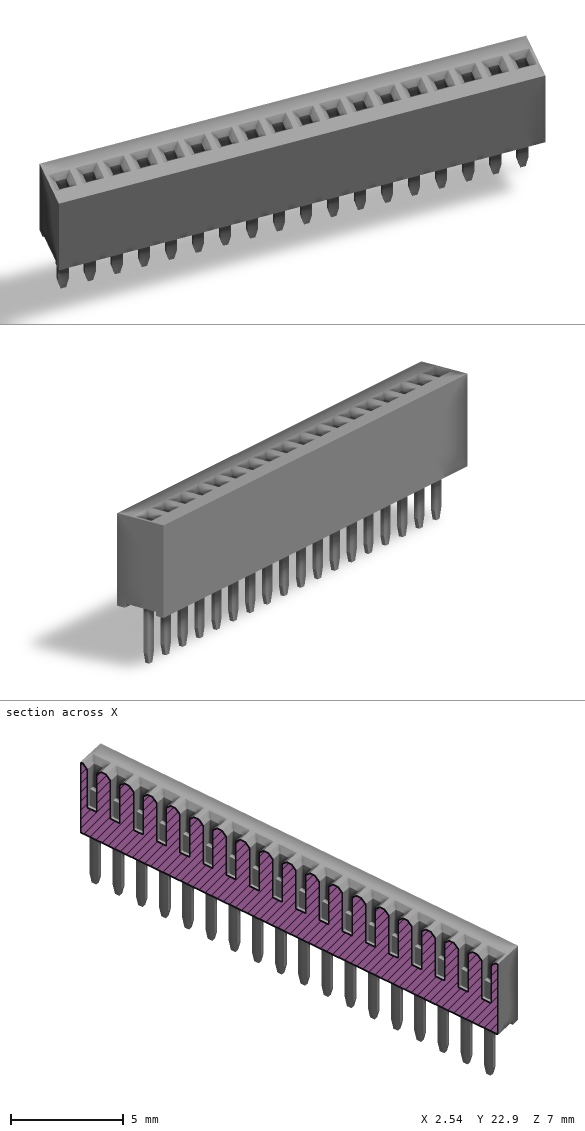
import cadquery as cq

contact_count = 18
pitch = 1.27
body_width = 2 * pitch
body_length = contact_count * pitch
body_height = 4.4
overall_height = 7.0

foot_width = 0.42
foot_height = 0.2

funnel_mouth = 1.0
well_side = 0.5
funnel_depth = 0.25
well_depth = 2.5

contact_thickness = 0.2
contact_width = 0.5
blade_width = 0.42
blade_height = 1.0
tip_width = 0.25
tip_length = 0.5

tail_bottom = body_height - overall_height
well_floor = body_height - well_depth
blade_top = well_floor + blade_height

contact_places = [(0, (i - (contact_count - 1) / 2) * pitch) for i in range(contact_count)]


def at_contacts(shape):
    """Copy a shape to every contact position along the row."""
    return cq.Workplane("XY").pushPoints(contact_places).eachpoint(lambda place: shape.moved(place))


def make_body():
    """Plain housing block with the channel between its two feet."""
    block = cq.Workplane("XY").box(body_width, body_length, body_height, centered=(True, True, False))
    channel = cq.Workplane("XY").box(
        body_width - 2 * foot_width, body_length, foot_height, centered=(True, True, False)
    )
    return block.cut(channel)


def make_socket():
    """Void of one socket: tapered funnel above a straight well."""
    funnel = (
        cq.Workplane("XY", origin=(0, 0, body_height))
        .rect(funnel_mouth, funnel_mouth)
        .workplane(offset=-funnel_depth)
        .rect(well_side, well_side)
        .loft(ruled=True)
    )
    well = cq.Workplane("XY", origin=(0, 0, well_floor)).rect(well_side, well_side).extrude(
        well_depth - funnel_depth
    )
    return funnel.union(well).val()


def make_contact():
    """One flat contact: blade narrower than the tail, and a tail tapered across Y at its tip."""
    half_width = contact_width / 2
    half_blade = blade_width / 2
    half_tip = tip_width / 2
    shoulder = tail_bottom + tip_length
    outline = [
        (-half_tip, tail_bottom),
        (half_tip, tail_bottom),
        (half_width, shoulder),
        (half_width, well_floor),
        (half_blade, well_floor),
        (half_blade, blade_top),
        (-half_blade, blade_top),
        (-half_blade, well_floor),
        (-half_width, well_floor),
        (-half_width, shoulder),
    ]
    return cq.Workplane("YZ").polyline(outline).close().extrude(contact_thickness / 2, both=True).val()


result = make_body().cut(at_contacts(make_socket())).union(at_contacts(make_contact()))